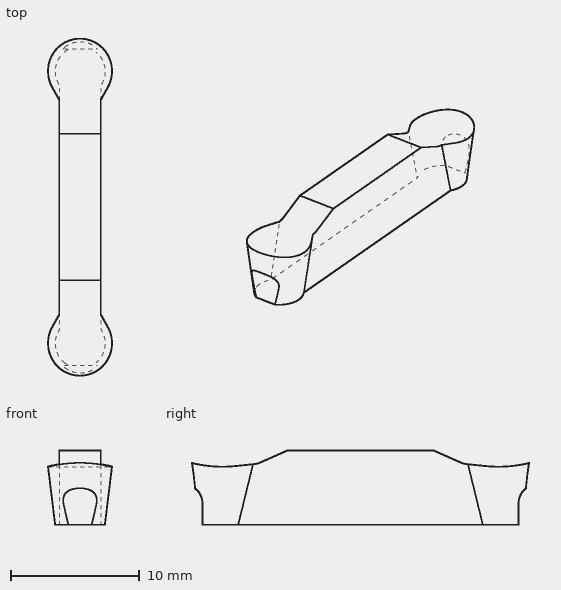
import cadquery as cq
import math

length = 26.2
height = 5.8
shank_width = 3.25

draft_angle = 7.0
base_radius = 1.95
tip_height = 4.82
neck_angle = 30.0
draft_slope = math.tan(math.radians(draft_angle))
tip_radius = base_radius + tip_height * draft_slope
head_y = length / 2 - tip_radius

dish_radius = 10.0
dish_bottom_height = 4.53
dish_end = 3.43
ramp_blend_start = 4.9
ramp_blend_end = 5.3
ramp_blend_end_height = 4.85
ramp_end = 7.4

relief_depth = 0.8
relief_flat_height = 1.68
relief_radius = 1.5


def teardrop(plane, radius):
    """Circle with two tangent flanks meeting at an apex toward the shank."""
    angle = math.radians(neck_angle)
    tangent_x = radius * math.cos(angle)
    tangent_y = radius * math.sin(angle)
    apex_y = radius / math.sin(angle)
    return (
        plane.moveTo(0, apex_y)
        .lineTo(-tangent_x, tangent_y)
        .threePointArc((0, -radius), (tangent_x, tangent_y))
        .close()
    )


def make_head():
    """Drafted head at the -Y end, left tall for trimming by the top profile."""
    top_radius = base_radius + height * draft_slope
    base = teardrop(cq.Workplane("XY", origin=(0, -head_y, 0)), base_radius)
    head = teardrop(base.workplane(offset=height), top_radius).loft(ruled=True, combine=True)
    return head.cut(make_relief())


def make_relief():
    """Vertical flat at the foot of the head, running out upward through a concave arc."""
    end_y = -length / 2
    flat_y = end_y + relief_depth
    diagonal = relief_radius * math.sqrt(0.5)
    arc_center_y = flat_y - relief_radius
    return (
        cq.Workplane("YZ")
        .moveTo(arc_center_y, 0)
        .lineTo(flat_y, 0)
        .lineTo(flat_y, relief_flat_height)
        .threePointArc(
            (arc_center_y + diagonal, relief_flat_height + diagonal),
            (arc_center_y, relief_flat_height + relief_radius),
        )
        .close()
        .extrude(base_radius, both=True)
    )


def make_side_envelope():
    """Half of the side profile, mirrored about XZ and wide enough to span the heads."""
    end_y = -length / 2
    outer_y = end_y - tip_radius
    dish_center_z = dish_bottom_height + dish_radius
    dish_offset = math.sqrt(dish_radius**2 - (dish_center_z - tip_height) ** 2)
    dish_center_y = end_y + dish_offset

    def dish_height(y):
        return dish_center_z - math.sqrt(dish_radius**2 - (y - dish_center_y) ** 2)

    dish_end_y = end_y + dish_end
    dish_end_z = dish_height(dish_end_y)
    exit_slope = (dish_end_y - dish_center_y) / (dish_center_z - dish_end_z)
    blend_start_y = end_y + ramp_blend_start
    blend_start_z = dish_end_z + exit_slope * (blend_start_y - dish_end_y)
    half = (
        cq.Workplane("YZ")
        .moveTo(0, 0)
        .lineTo(outer_y, 0)
        .lineTo(outer_y, dish_height(outer_y))
        .threePointArc((dish_center_y, dish_bottom_height), (dish_end_y, dish_end_z))
        .lineTo(blend_start_y, blend_start_z)
        .tangentArcPoint((end_y + ramp_blend_end, ramp_blend_end_height), relative=False)
        .lineTo(end_y + ramp_end, height)
        .lineTo(0, height)
        .close()
        .extrude(2 * tip_radius, both=True)
    )
    return half.union(half.mirror("XZ"))


shank = cq.Workplane("XY").box(shank_width, 2 * head_y, height, centered=(True, True, False))
head = make_head()
body = shank.union(head).union(head.mirror("XZ"))
result = body.intersect(make_side_envelope()).clean()